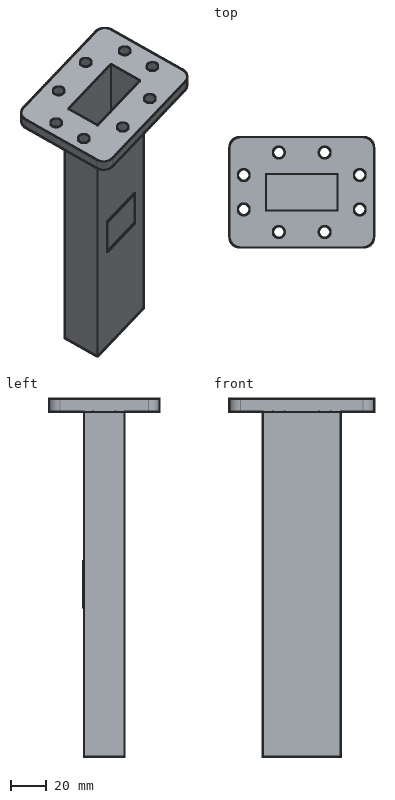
import cadquery as cq

total_height = 200.0
flange_length = 81.0
flange_width = 61.8
flange_thickness = 7.5
flange_corner_radius = 6.2
flange_bottom = total_height - flange_thickness

bore_length = 40.2
bore_width = 20.2
tube_length = 43.8
tube_width = 22.8
floor_thickness = (tube_length - bore_length) / 2

hole_diameter = 6.5
end_hole_position = (32.5, 9.5)
side_hole_position = (12.8, 22.2)

plate_size = 26.0
plate_thickness = 0.5


def block(length, width, bottom, top):
    """Rectangular block centred on the Z axis between two heights."""
    return cq.Workplane("XY", origin=(0, 0, bottom)).box(
        length, width, top - bottom, centered=(True, True, False)
    )


def mirrored_points(position):
    """The four mirror images of a point about the X and Y axes."""
    x, y = position
    return [(sx * x, sy * y) for sx in (-1, 1) for sy in (-1, 1)]


tube = block(tube_length, tube_width, 0, total_height)
flange = block(flange_length, flange_width, flange_bottom, total_height)
flange = flange.edges("|Z").fillet(flange_corner_radius)

plate = cq.Workplane("XY").box(plate_size, plate_thickness, plate_size)
plate = plate.translate((0, (tube_width + plate_thickness) / 2, flange_bottom / 2))

bore = block(bore_length, bore_width, floor_thickness, total_height)
bolt_holes = (
    cq.Workplane("XY", origin=(0, 0, flange_bottom))
    .pushPoints(mirrored_points(end_hole_position) + mirrored_points(side_hole_position))
    .circle(hole_diameter / 2)
    .extrude(flange_thickness)
)

result = tube.union(flange).union(plate).cut(bore).cut(bolt_holes)